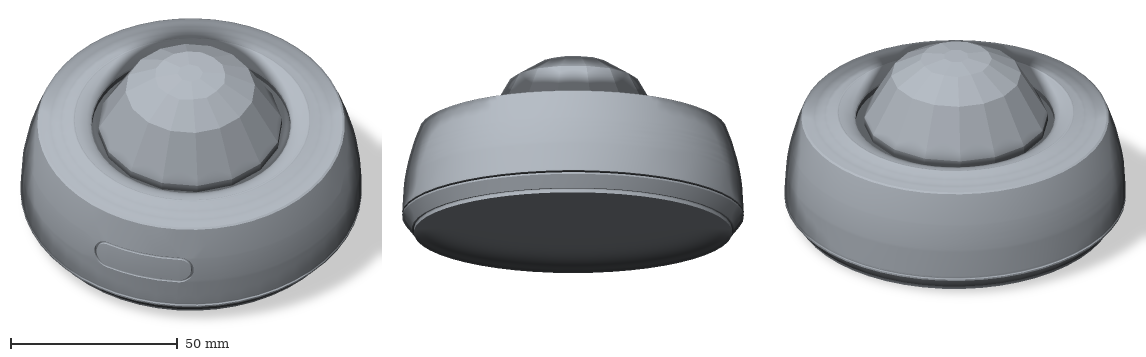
import cadquery as cq
import math

PLATE_RADIUS = 47.7
PLATE_TOP = 1.2
OUTER_RADIUS = 51.2
FLARE_BOTTOM_RADIUS = 48.3
FLARE_TOP = 4.8
BASE_RING_TOP = 5.3
NECK_RADIUS = 48.5
SHADOW_GAP = 0.6

COVER_BOTTOM = BASE_RING_TOP + SHADOW_GAP
LIP_TOP = 6.4
SHOULDER_RADIUS = 46.1
SHOULDER_Z = 31.9
SHOULDER_BEVEL = 0.6
TOP_EDGE_Z = 32.2
CREST_RADIUS = 35.3
CREST_Z = 33.7
CREST_HALF_WIDTH = 0.4
CREST_DROP = 0.1
RECESS_RADIUS = 29.8
RECESS_EDGE_BEVEL = 0.3
RECESS_EDGE_Z = 32.0
RECESS_FLOOR = 29.9
BOWL_BULGE = 0.3

BADGE_LENGTH = 31.1
BADGE_HEIGHT = 8.6
BADGE_Z = 18.7
GROOVE_WIDTH = 0.7
GROOVE_DEPTH = 0.8

LENS_OFFSET = (-0.2, -0.2)
LENS_TURN = -0.6
LENS_SIDES = 16
CAP_SIDES = 8
SKIRT_RADIUS = 27.6
SKIRT_TOP = 32.5
WAIST_RADIUS = 19.5
WAIST_Z = 46.7
CAP_RADIUS = 10.8
CAP_Z = 51.9
CROWN_RADIUS = 3.8
LENS_TOP = 53.1


def make_base():
    """Plate, flared ring and neck turned as one solid."""
    return (
        cq.Workplane("XZ")
        .moveTo(0, 0)
        .lineTo(PLATE_RADIUS, 0)
        .lineTo(PLATE_RADIUS, PLATE_TOP)
        .lineTo(FLARE_BOTTOM_RADIUS, PLATE_TOP)
        .lineTo(OUTER_RADIUS, FLARE_TOP)
        .lineTo(OUTER_RADIUS, BASE_RING_TOP)
        .lineTo(NECK_RADIUS, BASE_RING_TOP)
        .lineTo(NECK_RADIUS, COVER_BOTTOM)
        .lineTo(0, COVER_BOTTOM)
        .close()
        .revolve(360, (0, 0, 0), (0, 1, 0))
    )


def make_cover_blank():
    """Turned cover: side bulging from an upright lip, top rising to a crest, then the bowl and recess."""
    top_start = (SHOULDER_RADIUS - SHOULDER_BEVEL, TOP_EDGE_Z)
    crest_start = (CREST_RADIUS + CREST_HALF_WIDTH, CREST_Z - CREST_DROP)
    top_run = top_start[0] - crest_start[0]
    top_rise = crest_start[1] - top_start[1]
    top_arc_radius = (top_run**2 + top_rise**2) / (2 * top_rise)

    bowl_start = (CREST_RADIUS - CREST_HALF_WIDTH, CREST_Z - CREST_DROP)
    bowl_end = (RECESS_RADIUS + RECESS_EDGE_BEVEL, RECESS_EDGE_Z)
    bowl_middle = (
        (bowl_start[0] + bowl_end[0]) / 2,
        (bowl_start[1] + bowl_end[1]) / 2 + BOWL_BULGE,
    )
    return (
        cq.Workplane("XZ")
        .moveTo(0, COVER_BOTTOM)
        .lineTo(OUTER_RADIUS, COVER_BOTTOM)
        .lineTo(OUTER_RADIUS, LIP_TOP)
        .tangentArcPoint((SHOULDER_RADIUS, SHOULDER_Z), relative=False)
        .lineTo(*top_start)
        .radiusArc(crest_start, top_arc_radius)
        .threePointArc((CREST_RADIUS, CREST_Z), bowl_start)
        .threePointArc(bowl_middle, bowl_end)
        .lineTo(RECESS_RADIUS, RECESS_EDGE_Z - RECESS_EDGE_BEVEL)
        .lineTo(RECESS_RADIUS, RECESS_FLOOR)
        .lineTo(0, RECESS_FLOOR)
        .close()
        .revolve(360, (0, 0, 0), (0, 1, 0))
    )


def make_groove_core():
    """Turned shape that the badge groove is cut down to."""
    return (
        cq.Workplane("XZ")
        .moveTo(0, COVER_BOTTOM)
        .lineTo(OUTER_RADIUS - GROOVE_DEPTH, COVER_BOTTOM)
        .lineTo(OUTER_RADIUS - GROOVE_DEPTH, LIP_TOP)
        .tangentArcPoint((SHOULDER_RADIUS - GROOVE_DEPTH, SHOULDER_Z), relative=False)
        .lineTo(0, SHOULDER_Z)
        .close()
        .revolve(360, (0, 0, 0), (0, 1, 0))
    )


def make_badge_groove():
    """Stadium-shaped band, kept only where it lies outside the groove core."""
    band = (
        cq.Workplane("XZ")
        .center(0, BADGE_Z)
        .slot2D(BADGE_LENGTH, BADGE_HEIGHT)
        .slot2D(BADGE_LENGTH - 2 * GROOVE_WIDTH, BADGE_HEIGHT - 2 * GROOVE_WIDTH)
        .extrude(OUTER_RADIUS)
    )
    return band.cut(make_groove_core())


def make_cover():
    """Cover with the badge groove cut into its side."""
    return make_cover_blank().cut(make_badge_groove())


def polygon_points(sides, radius, first_angle):
    """Corners of a regular polygon, starting at the given angle in degrees."""
    angles = [math.radians(first_angle + 360 / sides * i) for i in range(sides)]
    return [(radius * math.cos(a), radius * math.sin(a)) for a in angles]


def frustum(sides, first_angle, bottom_radius, bottom_z, top_radius, top_z):
    """Solid with flat sides between two level polygons."""
    return (
        cq.Workplane("XY", origin=(0, 0, bottom_z))
        .polyline(polygon_points(sides, bottom_radius, first_angle))
        .close()
        .workplane(offset=top_z - bottom_z)
        .polyline(polygon_points(sides, top_radius, first_angle))
        .close()
        .loft(ruled=True)
    )


def make_lens():
    """Upright skirt, two tiers of sixteen facets and a shallow eight-sided cap."""
    skirt = frustum(LENS_SIDES, 0, SKIRT_RADIUS, RECESS_FLOOR, SKIRT_RADIUS, SKIRT_TOP)
    lower_tier = frustum(LENS_SIDES, 0, SKIRT_RADIUS, SKIRT_TOP, WAIST_RADIUS, WAIST_Z)

    upper_slope = (WAIST_RADIUS - CAP_RADIUS) / (CAP_Z - WAIST_Z)
    upper_end_radius = WAIST_RADIUS - upper_slope * (LENS_TOP - WAIST_Z)
    upper_tier = frustum(LENS_SIDES, 0, WAIST_RADIUS, WAIST_Z, upper_end_radius, LENS_TOP)

    half_step = 180 / CAP_SIDES
    cap_corner_radius = CAP_RADIUS / math.cos(math.radians(half_step))
    cap_slope = (cap_corner_radius - CROWN_RADIUS) / (LENS_TOP - CAP_Z)
    cap_base_radius = CROWN_RADIUS + cap_slope * (LENS_TOP - WAIST_Z)
    cap = frustum(CAP_SIDES, half_step, cap_base_radius, WAIST_Z, CROWN_RADIUS, LENS_TOP)

    lens = skirt.union(lower_tier).union(upper_tier.intersect(cap))
    return lens.rotate((0, 0, 0), (0, 0, 1), LENS_TURN).translate((*LENS_OFFSET, 0))


base = make_base()
cover = make_cover()
lens = make_lens()

result = cq.Compound.makeCompound([base.val(), cover.solids().val(), lens.solids().val()])